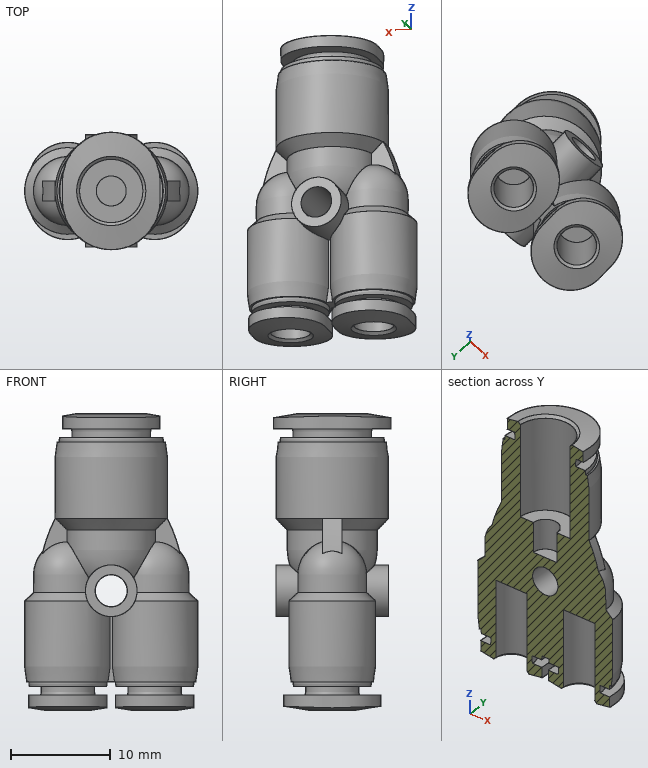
import cadquery as cq
import math

height = 29.8
leg_offset = 4.35
rib_width = 2.0

main_radius = 11.3 / 2
main_neck_radius = 7.9 / 2
main_throat_radius = 4.53
main_shoulder_z = 19.25
main_throat_z = 18.12
main_ball_z = 16.1
main_bore_radius = 6.35 / 2
main_bore_floor_z = 18.48
main_passage_radius = 3.0 / 2
main_passage_floor_z = 14.9

leg_radius = 4.35
leg_neck_radius = 5.35 / 2
leg_throat_radius = 3.45
leg_shoulder_z = 11.0
leg_throat_z = 11.83
leg_ball_z = 13.62
leg_bore_radius = 3.95 / 2
leg_bore_depth = 9.55

ring_thickness = 1.55
ring_dome = 0.42
mouth_depth = 2.38
mouth_edge_depth = 2.62
lip_depth = 2.85
taper_depth = 4.38
mouth_inset = 0.42
mouth_chamfer = 0.05
neck_flare = 0.05
neck_flare_depth = 1.82
lip_inset = 0.2
bore_chamfer = 0.3

main_ring_long = 11.8 / 2
main_ring_short = 9.77 / 2
leg_ring_long = 9.77 / 2
leg_ring_short = 7.9 / 2

boss_radius = 5.2 / 2
boss_hole_radius = 3.2 / 2
boss_z = 12.0

rib_foot_x = 6.9
rib_foot_z = 15.8
rib_bulge = 0.12


def port_body(radius, neck_radius, throat_radius, shoulder, throat, ball):
    """Revolved port pointing down: ring face at z = 0, closed by a half ball at the top."""
    diagonal = throat_radius * math.sqrt(0.5)
    return (
        cq.Workplane("XZ")
        .moveTo(0, ring_dome)
        .lineTo(neck_radius, ring_dome)
        .lineTo(neck_radius + neck_flare, ring_thickness)
        .lineTo(neck_radius, neck_flare_depth)
        .lineTo(neck_radius, mouth_depth)
        .lineTo(radius - mouth_inset - mouth_chamfer, mouth_depth)
        .lineTo(radius - mouth_inset, mouth_edge_depth)
        .lineTo(radius - mouth_inset, lip_depth)
        .lineTo(radius - lip_inset, lip_depth)
        .lineTo(radius, taper_depth)
        .lineTo(radius, shoulder)
        .lineTo(throat_radius, throat)
        .lineTo(throat_radius, ball)
        .threePointArc((diagonal, ball + diagonal), (0, ball + throat_radius))
        .close()
        .revolve(360, (0, 0, 0), (0, 1, 0))
    )


def release_ring(long_half, short_half, bore_radius):
    """Oval ring: two large arcs joined by narrow flats, with a conical outer face at z = 0."""
    half_flat = rib_width / 2
    outline = (
        cq.Workplane("XY")
        .moveTo(short_half, -half_flat)
        .lineTo(short_half, half_flat)
        .threePointArc((0, long_half), (-short_half, half_flat))
        .lineTo(-short_half, -half_flat)
        .threePointArc((0, -long_half), (short_half, -half_flat))
        .close()
        .extrude(ring_thickness)
    )
    dome = (
        cq.Workplane("XZ")
        .lineTo(bore_radius + bore_chamfer, 0)
        .lineTo(long_half, ring_dome)
        .lineTo(long_half, ring_thickness)
        .lineTo(0, ring_thickness)
        .close()
        .revolve(360, (0, 0, 0), (0, 1, 0))
    )
    return outline.intersect(dome)


def bore(radius, depth):
    """Blind bore from z = 0 upward with a chamfered mouth."""
    return (
        cq.Workplane("XZ")
        .lineTo(radius + bore_chamfer, 0)
        .lineTo(radius, bore_chamfer)
        .lineTo(radius, depth)
        .lineTo(0, depth)
        .close()
        .revolve(360, (0, 0, 0), (0, 1, 0))
    )


def to_top(shape):
    """Turn a downward port over so that its mouth lies on the top plane."""
    return shape.rotate((0, 0, 0), (1, 0, 0), 180).translate((0, 0, height))


def side_rib(side):
    """Rib with a bowed outer edge from the main shoulder down to one leg."""
    middle = (side * ((main_radius + rib_foot_x) / 2 + rib_bulge), (main_shoulder_z + rib_foot_z) / 2)
    return (
        cq.Workplane("XZ")
        .moveTo(0, main_shoulder_z)
        .lineTo(side * main_radius, main_shoulder_z)
        .threePointArc(middle, (side * rib_foot_x, rib_foot_z))
        .lineTo(side * leg_offset, leg_ball_z)
        .lineTo(0, leg_ball_z)
        .close()
        .extrude(rib_width / 2, both=True)
    )


def boss_cylinder(radius):
    return cq.Workplane("XZ").center(0, boss_z).circle(radius).extrude(main_radius, both=True)


main_port = port_body(
    main_radius, main_neck_radius, main_throat_radius,
    height - main_shoulder_z, height - main_throat_z, height - main_ball_z,
)
result = to_top(main_port.union(release_ring(main_ring_long, main_ring_short, main_bore_radius)))

leg = port_body(
    leg_radius, leg_neck_radius, leg_throat_radius,
    leg_shoulder_z, leg_throat_z, leg_ball_z,
).union(release_ring(leg_ring_long, leg_ring_short, leg_bore_radius))
for side in (-1, 1):
    result = result.union(leg.translate((side * leg_offset, 0, 0)))
    result = result.union(side_rib(side))

web = (
    cq.Workplane("XY")
    .workplane(offset=lip_depth)
    .rect(2 * (leg_offset - leg_bore_radius), rib_width)
    .extrude(main_ball_z - lip_depth)
)
result = result.union(web).union(boss_cylinder(boss_radius))

result = result.cut(to_top(bore(main_bore_radius, height - main_bore_floor_z)))
passage = (
    cq.Workplane("XY")
    .workplane(offset=main_passage_floor_z)
    .circle(main_passage_radius)
    .extrude(main_bore_floor_z - main_passage_floor_z)
)
result = result.cut(passage)
for side in (-1, 1):
    result = result.cut(bore(leg_bore_radius, leg_bore_depth).translate((side * leg_offset, 0, 0)))
result = result.cut(boss_cylinder(boss_hole_radius))